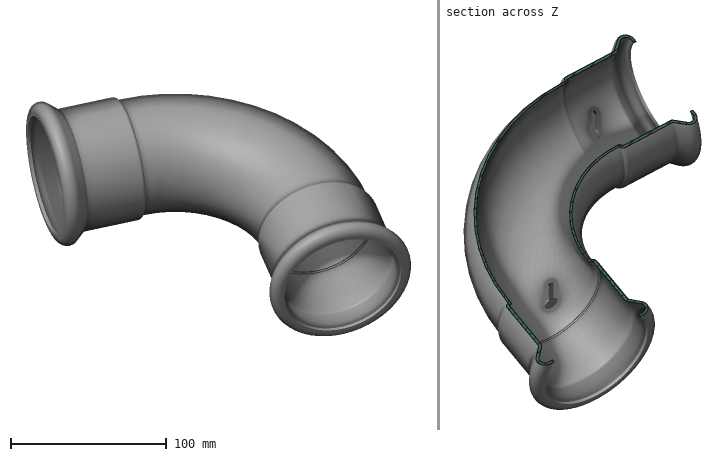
import cadquery as cq
import math

TUBE_RADIUS = 76.0 / 2
TUBE_BORE_RADIUS = 73.0 / 2
BEND_RADIUS = 94.9

SOCKET_RADIUS = 80.7 / 2
SOCKET_BORE_RADIUS = 76.7 / 2
WALL = SOCKET_RADIUS - SOCKET_BORE_RADIUS
MOUTH_RADIUS = 78.3 / 2
BEAD_RADIUS = 94.7 / 2
BEAD_ROUND = 5.8
CONE_ANGLE = math.radians(40)
SOCKET_LENGTH = 55.6
BORE_DEPTH = 54.0
THROAT_ROUND = 2.6
OVERALL_LENGTH = 200.2
MOUTH_REACH = OVERALL_LENGTH - BEAD_RADIUS
LEG_LENGTH = MOUTH_REACH - BEND_RADIUS

MARKER_BORE_RADIUS = 75.0 / 2
MARKER_THICKNESS = 0.8
DISC_RADIUS = 4.8
SPOKE_WIDTH = 3.2


def arc_point(center_depth, center_radius, round_radius, angle):
    """Radius and depth of a point on a bead round, angle taken from the radial direction."""
    return (
        center_radius + round_radius * math.cos(angle),
        center_depth + round_radius * math.sin(angle),
    )


def make_socket():
    """Socket revolved about Z, mouth at Z = 0 and depth along +Z."""
    center_depth = BEAD_ROUND
    center_radius = BEAD_RADIUS - BEAD_ROUND
    groove_round = BEAD_ROUND - WALL
    bead_middle = arc_point(center_depth, center_radius, BEAD_ROUND, 0)
    bead_end = arc_point(center_depth, center_radius, BEAD_ROUND, CONE_ANGLE)
    groove_middle = arc_point(center_depth, center_radius, groove_round, 0)
    groove_end = arc_point(center_depth, center_radius, groove_round, CONE_ANGLE)
    cone_slope = math.tan(CONE_ANGLE)
    outer_cone_depth = bead_end[1] + (bead_end[0] - SOCKET_RADIUS) / cone_slope
    inner_cone_depth = groove_end[1] + (groove_end[0] - SOCKET_BORE_RADIUS) / cone_slope
    throat_reach = THROAT_ROUND * math.tan(CONE_ANGLE / 2)
    throat_start = (
        SOCKET_BORE_RADIUS + throat_reach * math.sin(CONE_ANGLE),
        inner_cone_depth - throat_reach * math.cos(CONE_ANGLE),
    )
    throat_end = (SOCKET_BORE_RADIUS, inner_cone_depth + throat_reach)
    throat_middle = (
        SOCKET_BORE_RADIUS + THROAT_ROUND * (1 - math.cos(CONE_ANGLE / 2)),
        throat_end[1] - THROAT_ROUND * math.sin(CONE_ANGLE / 2),
    )
    shoulder_round = SOCKET_RADIUS - TUBE_RADIUS
    round_offset = shoulder_round * math.sqrt(0.5)
    round_start = SOCKET_LENGTH - shoulder_round
    profile = (
        cq.Workplane("XZ")
        .moveTo(MOUTH_RADIUS, 0)
        .lineTo(center_radius, 0)
        .threePointArc(bead_middle, bead_end)
        .lineTo(SOCKET_RADIUS, outer_cone_depth)
        .lineTo(SOCKET_RADIUS, round_start)
        .threePointArc(
            (TUBE_RADIUS + round_offset, round_start + round_offset),
            (TUBE_RADIUS, SOCKET_LENGTH),
        )
        .lineTo(TUBE_RADIUS, LEG_LENGTH)
        .lineTo(TUBE_BORE_RADIUS, LEG_LENGTH)
        .lineTo(TUBE_BORE_RADIUS, BORE_DEPTH)
        .lineTo(SOCKET_BORE_RADIUS, BORE_DEPTH)
        .lineTo(*throat_end)
        .threePointArc(throat_middle, throat_start)
        .lineTo(*groove_end)
        .threePointArc(groove_middle, (center_radius, WALL))
        .lineTo(MOUTH_RADIUS, WALL)
        .close()
    )
    return profile.revolve(360, (0, 0, 0), (0, 1, 0))


def make_marker():
    """Marker lying on the socket shoulder, in the socket's own position, spoke toward +Y."""
    plane = cq.Workplane("XY").workplane(offset=BORE_DEPTH - MARKER_THICKNESS)
    ring = plane.circle(SOCKET_BORE_RADIUS).circle(MARKER_BORE_RADIUS).extrude(MARKER_THICKNESS)
    disc = plane.circle(DISC_RADIUS).extrude(MARKER_THICKNESS)
    spoke_length = (MARKER_BORE_RADIUS + SOCKET_BORE_RADIUS) / 2
    spoke = (
        plane.center(0, spoke_length / 2)
        .rect(SPOKE_WIDTH, spoke_length)
        .extrude(MARKER_THICKNESS)
    )
    return ring.union(spoke).union(disc)


def place_on_leg(body, turn):
    """Stand a socket-based body on the -Y leg, or turn it on to the +X leg."""
    on_leg = body.rotate((0, 0, 0), (1, 0, 0), -90)
    on_leg = on_leg.rotate((0, 0, 0), (0, 1, 0), 180)
    on_leg = on_leg.translate((0, -MOUTH_REACH, 0))
    if turn:
        return on_leg.rotate((0, 0, 0), (0, 0, 1), 90)
    return on_leg


def make_bend():
    """Quarter torus tube joining the two legs."""
    return (
        cq.Workplane("XZ", origin=(0, -BEND_RADIUS, 0))
        .circle(TUBE_RADIUS)
        .circle(TUBE_BORE_RADIUS)
        .revolve(90, (BEND_RADIUS, 0, 0), (BEND_RADIUS, -1, 0))
    )


elbow = make_bend()
markers = []
for turned in (False, True):
    elbow = elbow.union(place_on_leg(make_socket(), turned))
    markers.append(place_on_leg(make_marker(), turned))

result = cq.Compound.makeCompound([elbow.val(), *[marker.val() for marker in markers]])